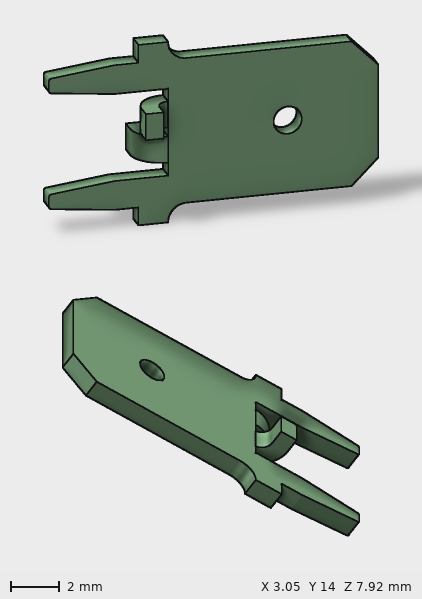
import cadquery as cq

sheet = 0.8128
blade_width = 6.35
blade_length = 8.94
corner_chamfer = 1.143
hole_diameter = 1.19
hole_from_end = 3.86

shoulder_span = 7.92
shoulder_depth = 1.27
shoulder_radius = 0.762

prong_length = 5.08
prong_width = 1.27
tip_width = 0.635
tip_radius = 0.127
taper_start = 2.286

tab_reach = 1.525
tab_width = 1.145
tab_gap = 0.38
tab_thickness = 0.762
tab_outer_radius = 1.29

half_sheet = sheet / 2
half_blade = blade_width / 2
half_span = shoulder_span / 2
prong_inner = half_blade - prong_width


def extrude_sheet(outline):
    """Extrude a closed YZ outline to sheet thickness, centred on X = 0."""
    return outline.extrude(half_sheet, both=True)


def make_blade():
    """Chamfered rectangular blade with its locking hole."""
    blade = extrude_sheet(
        cq.Workplane("YZ").center(blade_length / 2, 0).rect(blade_length, blade_width)
    )
    blade = blade.edges("|X and >Y").chamfer(corner_chamfer)
    hole = extrude_sheet(
        cq.Workplane("YZ").center(blade_length - hole_from_end, 0).circle(hole_diameter / 2)
    )
    return blade.cut(hole)


def make_ear():
    """Upper shoulder ear with the concave blend into the blade edge."""
    return extrude_sheet(
        cq.Workplane("YZ")
        .moveTo(-shoulder_depth, prong_inner)
        .lineTo(-shoulder_depth, half_span)
        .lineTo(0, half_span)
        .lineTo(0, half_blade + shoulder_radius)
        .radiusArc((shoulder_radius, half_blade), -shoulder_radius)
        .lineTo(shoulder_radius, prong_inner)
        .close()
    )


def make_prong():
    """Upper tapered prong with rounded tip corners."""
    prong_centre = half_blade - prong_width / 2
    prong = extrude_sheet(
        cq.Workplane("YZ")
        .moveTo(0, half_blade)
        .lineTo(-taper_start, half_blade)
        .lineTo(-prong_length, prong_centre + tip_width / 2)
        .lineTo(-prong_length, prong_centre - tip_width / 2)
        .lineTo(-taper_start, prong_inner)
        .lineTo(0, prong_inner)
        .close()
    )
    return prong.edges("|X and <Y").fillet(tip_radius)


def make_tab():
    """Upper tab: a quarter bend out of the blade end, then straight out toward +X."""
    bend_centre_x = tab_outer_radius - half_sheet
    inner_radius = tab_outer_radius - tab_thickness
    bend_y = tab_outer_radius - shoulder_depth
    return (
        cq.Workplane("XY")
        .workplane(offset=tab_gap / 2)
        .moveTo(-half_sheet, bend_y)
        .radiusArc((bend_centre_x, bend_y - tab_outer_radius), -tab_outer_radius)
        .lineTo(tab_reach, bend_y - tab_outer_radius)
        .lineTo(tab_reach, bend_y - inner_radius)
        .lineTo(bend_centre_x, bend_y - inner_radius)
        .radiusArc((bend_centre_x - inner_radius, bend_y), inner_radius)
        .close()
        .extrude(tab_width)
    )


upper_half = make_ear().union(make_prong()).union(make_tab())

lower_half = upper_half.rotate((0, 0, 0), (0, 1, 0), 180)

result = make_blade().union(upper_half).union(lower_half)